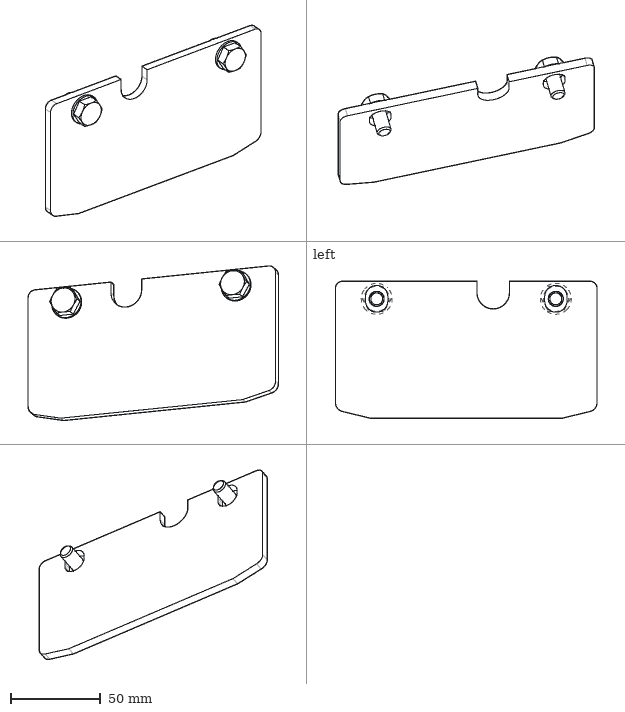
import cadquery as cq
import math

plate_width = 146.0
plate_height = 76.5
plate_thickness = 5.0
bottom_flat_width = 107.2
bottom_taper_rise = 4.7
top_corner_radius = 4.2
bottom_corner_radius = 5.3

notch_width = 18.0
notch_depth = 15.5
notch_center_y = -15.0

bolt_spacing = 99.9
bolt_drop = 10.0
bolt_z = plate_height - bolt_drop
bolt_positions = [(side * bolt_spacing / 2, bolt_z) for side in (-1, 1)]
slot_width = 12.4
slot_height = 14.9

shank_diameter = 8.0
shank_protrusion = 9.6
tip_chamfer_length = 1.0
tip_chamfer_depth = 0.7
head_across_flats = 14.0
head_height = 5.5
head_crown_angle = 30.0

head_face_radius = head_across_flats / 2
head_corner_radius = head_face_radius / math.cos(math.pi / 6)

washer_diameter = 17.2
washer_hole_diameter = 8.5
washer_thickness = 1.3

plate_back_x = shank_protrusion
plate_front_x = plate_back_x + plate_thickness
head_seat_x = plate_front_x + washer_thickness
head_end_x = head_seat_x + head_height


def section_plane(x):
    """YZ workplane at the given X; local axes are Y and Z, extruding toward +X."""
    return cq.Workplane("YZ", origin=(x, 0, 0))


def make_notch():
    radius = notch_width / 2
    arc_center_z = plate_height - notch_depth + radius
    return (
        section_plane(plate_back_x)
        .moveTo(notch_center_y - radius, plate_height)
        .lineTo(notch_center_y - radius, arc_center_z)
        .threePointArc(
            (notch_center_y, plate_height - notch_depth),
            (notch_center_y + radius, arc_center_z),
        )
        .lineTo(notch_center_y + radius, plate_height)
        .close()
        .extrude(plate_thickness)
    )


def make_plate():
    half_width = plate_width / 2
    half_flat = bottom_flat_width / 2
    outline = [
        (-half_flat, 0),
        (half_flat, 0),
        (half_width, bottom_taper_rise),
        (half_width, plate_height),
        (-half_width, plate_height),
        (-half_width, bottom_taper_rise),
    ]
    plate = section_plane(plate_back_x).polyline(outline).close().extrude(plate_thickness)
    top_corners = plate.edges("|X").edges(">Z")
    plate = top_corners.fillet(top_corner_radius)
    lower_corners = cq.selectors.BoxSelector(
        (0, -plate_width, bottom_taper_rise / 2),
        (head_end_x, plate_width, bottom_taper_rise * 2),
    )
    plate = plate.edges("|X").edges(lower_corners).fillet(bottom_corner_radius)
    slots = (
        section_plane(plate_back_x)
        .pushPoints(bolt_positions)
        .slot2D(slot_height, slot_width, 90)
        .extrude(plate_thickness)
    )
    return plate.cut(make_notch()).cut(slots)


def make_washer(y, z):
    return (
        section_plane(plate_front_x)
        .center(y, z)
        .circle(washer_diameter / 2)
        .circle(washer_hole_diameter / 2)
        .extrude(washer_thickness)
    )


def make_crown_cone():
    """Turned envelope, on the X axis, that bevels the hexagon corners at the outer face."""
    bevel_length = (head_corner_radius - head_face_radius) * math.tan(math.radians(head_crown_angle))
    profile = [
        (head_seat_x, 0),
        (head_seat_x, head_corner_radius),
        (head_end_x - bevel_length, head_corner_radius),
        (head_end_x, head_face_radius),
        (head_end_x, 0),
    ]
    return cq.Workplane("XY").polyline(profile).close().revolve(360, (0, 0, 0), (1, 0, 0))


def make_bolt(y, z):
    corner_angles = [math.pi / 3 * i for i in range(6)]
    corners = [
        (head_corner_radius * math.cos(angle), head_corner_radius * math.sin(angle))
        for angle in corner_angles
    ]
    head = (
        section_plane(head_seat_x)
        .polyline(corners)
        .close()
        .extrude(head_height)
        .intersect(make_crown_cone())
    )
    shank_radius = shank_diameter / 2
    shank_profile = [
        (0, 0),
        (0, shank_radius - tip_chamfer_depth),
        (tip_chamfer_length, shank_radius),
        (head_seat_x, shank_radius),
        (head_seat_x, 0),
    ]
    shank = cq.Workplane("XY").polyline(shank_profile).close().revolve(360, (0, 0, 0), (1, 0, 0))
    return head.union(shank).translate((0, y, z))


plate = make_plate()
washers = [make_washer(y, z) for y, z in bolt_positions]
bolts = [make_bolt(y, z) for y, z in bolt_positions]

result = cq.Compound.makeCompound(
    [
        plate.val(),
        *[washer.val() for washer in washers],
        *[bolt.val() for bolt in bolts],
    ]
)